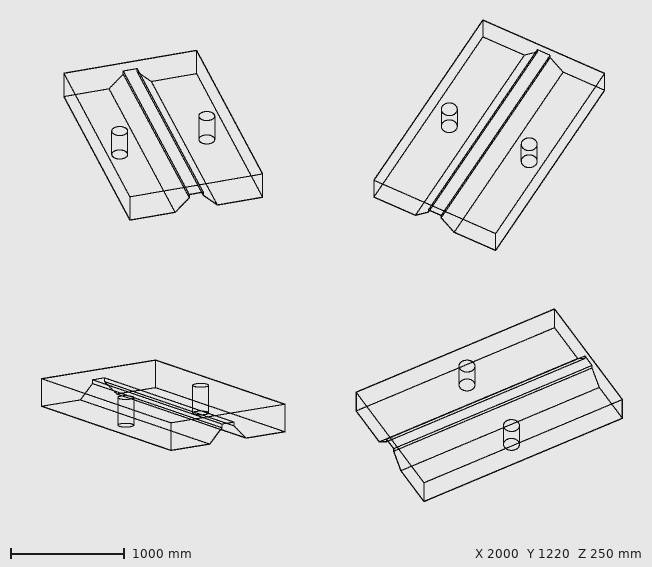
import cadquery as cq

length = 2000.0
width = 1220.0
thickness = 250.0

channel_mouth_width = 388.0
slot_width = 128.0
flank_height = 130.0
channel_depth = 165.0

hole_diameter = 140.0
hole_spacing = 800.0


def make_slab():
    return cq.Workplane("XY").box(length, width, thickness, centered=(True, True, False))


def make_channel():
    half_mouth = channel_mouth_width / 2
    half_slot = slot_width / 2
    profile = [
        (-half_mouth, 0),
        (-half_slot, flank_height),
        (-half_slot, channel_depth),
        (half_slot, channel_depth),
        (half_slot, flank_height),
        (half_mouth, 0),
    ]
    return cq.Workplane("YZ").polyline(profile).close().extrude(length / 2, both=True)


def make_holes():
    centers = [(0, -hole_spacing / 2), (0, hole_spacing / 2)]
    return cq.Workplane("XY").pushPoints(centers).circle(hole_diameter / 2).extrude(thickness)


result = make_slab().cut(make_channel()).cut(make_holes())